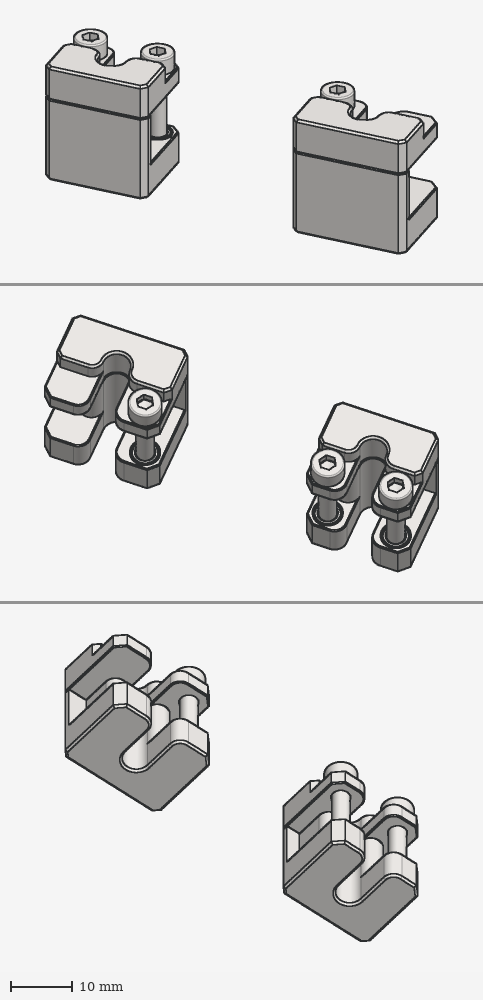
import cadquery as cq
import math

OVERALL_LENGTH = 64.2
DEPTH = 15.0
HEIGHT = 21.2

NARROW_WIDTH = 18.25
WIDE_WIDTH = 20.2

SLOT_WIDTH = 4.6
SLOT_CENTER_Y = 7.0
MOUTH_RADIUS = 2.1

FRONT_CORNER = 1.0
BACK_CORNER = 1.6
EDGE_CHAMFER = 0.4
SMALL_CHAMFER = 0.2

BASE_HEIGHT = 15.15
FLOOR_Z = 6.05
WALL_THICKNESS = 2.0
ARM_WIDTH = 4.2
ARM_RADIUS = ARM_WIDTH / 2

CAP_PLATE_HEIGHT = 3.0
RAISED_DEPTH = 9.0
RAISED_FILLET = RAISED_DEPTH - SLOT_CENTER_Y

SCREW_EDGE_DISTANCE = 3.15
SCREW_Y = 12.0
SHAFT_DIAMETER = 3.0
CLEARANCE_DIAMETER = 3.2
HEAD_DIAMETER = 5.5
HEAD_FILLET = 0.25
HEX_CORNER_DIAMETER = 2.9
SOCKET_DEPTH = 1.5
SOCKET_CONE_HEIGHT = 0.65
SEAT_Z = BASE_HEIGHT + CAP_PLATE_HEIGHT

INSERT_DIAMETER = 4.6
INSERT_LENGTH = 3.85
COLLAR_DIAMETER = 4.25
COLLAR_HEIGHT = 0.4
BORE_CHAMFER = 0.2
INSERT_BOTTOM_Z = FLOOR_Z - INSERT_LENGTH


def slotted_outline(width, depth, back_corner, mouth_radius, z):
    """Bevelled rectangle with a round-bottomed slot open to the back, rounded at its mouth."""
    slot_left = (width - SLOT_WIDTH) / 2
    slot_right = slot_left + SLOT_WIDTH
    diagonal = mouth_radius * (1 - math.sqrt(0.5))
    sketch = (
        cq.Workplane("XY", origin=(0, 0, z))
        .moveTo(FRONT_CORNER, 0)
        .lineTo(width - FRONT_CORNER, 0)
        .lineTo(width, FRONT_CORNER)
        .lineTo(width, depth - back_corner)
        .lineTo(width - back_corner, depth)
        .lineTo(slot_right + mouth_radius, depth)
        .threePointArc((slot_right + diagonal, depth - diagonal), (slot_right, depth - mouth_radius))
    )
    straight_slot = depth - mouth_radius > SLOT_CENTER_Y
    if straight_slot:
        sketch = sketch.lineTo(slot_right, SLOT_CENTER_Y)
    sketch = sketch.threePointArc((width / 2, SLOT_CENTER_Y - SLOT_WIDTH / 2), (slot_left, SLOT_CENTER_Y))
    if straight_slot:
        sketch = sketch.lineTo(slot_left, depth - mouth_radius)
    return (
        sketch.threePointArc((slot_left - diagonal, depth - diagonal), (slot_left - mouth_radius, depth))
        .lineTo(back_corner, depth)
        .lineTo(0, depth - back_corner)
        .lineTo(0, FRONT_CORNER)
        .close()
    )


def arm_outline(width, z):
    """Front wall with two round-ended arms, one on each side of the slot."""
    slot_left = (width - SLOT_WIDTH) / 2
    slot_right = slot_left + SLOT_WIDTH
    tip_y = SLOT_CENTER_Y + ARM_RADIUS
    arm_left = slot_left - ARM_WIDTH
    arm_right = slot_right + ARM_WIDTH
    return (
        cq.Workplane("XY", origin=(0, 0, z))
        .moveTo(FRONT_CORNER, 0)
        .lineTo(width - FRONT_CORNER, 0)
        .lineTo(width, FRONT_CORNER)
        .lineTo(width, WALL_THICKNESS)
        .lineTo(arm_right, WALL_THICKNESS)
        .lineTo(arm_right, SLOT_CENTER_Y)
        .threePointArc((slot_right + ARM_RADIUS, tip_y), (slot_right, SLOT_CENTER_Y))
        .threePointArc((width / 2, SLOT_CENTER_Y - SLOT_WIDTH / 2), (slot_left, SLOT_CENTER_Y))
        .threePointArc((slot_left - ARM_RADIUS, tip_y), (arm_left, SLOT_CENTER_Y))
        .lineTo(arm_left, WALL_THICKNESS)
        .lineTo(0, WALL_THICKNESS)
        .lineTo(0, FRONT_CORNER)
        .close()
    )


def slotted_plate(width, z, height, bottom_chamfer):
    """Full-depth slotted plate with its lower and upper edges chamfered."""
    plate = slotted_outline(width, DEPTH, BACK_CORNER, MOUTH_RADIUS, z).extrude(height)
    plate = plate.faces("<Z").edges().chamfer(bottom_chamfer)
    return plate.faces(">Z").edges().chamfer(SMALL_CHAMFER)


def make_base(width, screw_xs):
    plate = slotted_plate(width, 0, FLOOR_Z, EDGE_CHAMFER)
    arms_z = FLOOR_Z / 2
    arms = arm_outline(width, arms_z).extrude(BASE_HEIGHT - arms_z)
    arms = arms.faces(">Z").edges().chamfer(SMALL_CHAMFER)
    base = plate.union(arms)
    for x in screw_xs:
        base = base.cut(insert_blank(x)).cut(insert_countersink(x))
    return base


def make_cap(width, screw_xs):
    plate = slotted_plate(width, BASE_HEIGHT, CAP_PLATE_HEIGHT, SMALL_CHAMFER)
    raised_z = BASE_HEIGHT + CAP_PLATE_HEIGHT / 2
    raised = slotted_outline(width, RAISED_DEPTH, FRONT_CORNER, RAISED_FILLET, raised_z)
    raised = raised.extrude(HEIGHT - raised_z).faces(">Z").edges().chamfer(EDGE_CHAMFER)
    cap = plate.union(raised)
    for x in screw_xs:
        cap = cap.cut(cylinder(x, BASE_HEIGHT, CLEARANCE_DIAMETER, CAP_PLATE_HEIGHT))
    return cap


def cylinder(x, z, diameter, height):
    """Upright cylinder on the screw row."""
    return cq.Workplane("XY", origin=(x, SCREW_Y, z)).circle(diameter / 2).extrude(height)


def insert_blank(x):
    return cylinder(x, INSERT_BOTTOM_Z, INSERT_DIAMETER, INSERT_LENGTH)


def insert_countersink(x):
    """Chamfer around the mouth of an insert hole."""
    hole_radius = INSERT_DIAMETER / 2
    cone = cq.Solid.makeCone(
        hole_radius,
        hole_radius + SMALL_CHAMFER,
        SMALL_CHAMFER,
        cq.Vector(x, SCREW_Y, FLOOR_Z - SMALL_CHAMFER),
    )
    return cq.Workplane(cone)


def make_insert(x):
    """Sleeve with a narrower collar at its top and a chamfered bore that fits the screw shaft."""
    sleeve = cylinder(x, INSERT_BOTTOM_Z, INSERT_DIAMETER, INSERT_LENGTH - COLLAR_HEIGHT)
    collar = cylinder(x, INSERT_BOTTOM_Z, COLLAR_DIAMETER, INSERT_LENGTH)
    bore = cylinder(x, INSERT_BOTTOM_Z, SHAFT_DIAMETER, INSERT_LENGTH)
    insert = sleeve.union(collar).cut(bore)
    bore_mouth = insert.faces(">Z").edges(cq.selectors.RadiusNthSelector(0))
    return bore_mouth.chamfer(BORE_CHAMFER)


def make_screw(x):
    shaft = cylinder(x, INSERT_BOTTOM_Z, SHAFT_DIAMETER, SEAT_Z - INSERT_BOTTOM_Z)
    head = cylinder(x, SEAT_Z, HEAD_DIAMETER, HEIGHT - SEAT_Z)
    head = head.faces(">Z").edges().fillet(HEAD_FILLET)
    hexagon = (
        cq.Workplane("XY", origin=(x, SCREW_Y, HEIGHT))
        .polygon(6, HEX_CORNER_DIAMETER)
        .extrude(-SOCKET_DEPTH)
    )
    cone = cq.Workplane(
        cq.Solid.makeCone(
            HEX_CORNER_DIAMETER / 2,
            0,
            SOCKET_CONE_HEIGHT,
            cq.Vector(x, SCREW_Y, HEIGHT - SOCKET_DEPTH),
            cq.Vector(0, 0, -1),
        )
    )
    return shaft.union(head).cut(hexagon).cut(cone)


wide_left = OVERALL_LENGTH - WIDE_WIDTH
narrow_screw_xs = [SCREW_EDGE_DISTANCE, NARROW_WIDTH - SCREW_EDGE_DISTANCE]
wide_screw_xs = [SCREW_EDGE_DISTANCE]

clamps = [
    (0, NARROW_WIDTH, narrow_screw_xs),
    (wide_left, WIDE_WIDTH, wide_screw_xs),
]

bodies = []
for left, width, screw_xs in clamps:
    parts = [make_base(width, screw_xs), make_cap(width, screw_xs)]
    for screw_x in screw_xs:
        parts.append(make_insert(screw_x))
        parts.append(make_screw(screw_x))
    for part in parts:
        bodies.append(part.translate((left, 0, 0)).val())

result = cq.Compound.makeCompound(bodies)